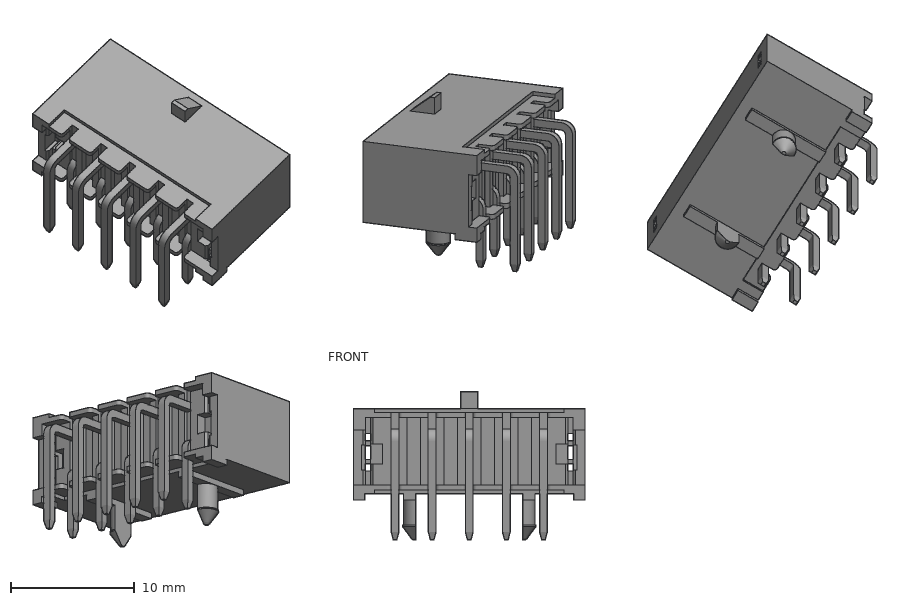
import cadquery as cq
import math


width = 18.7
depth = 9.9
top = 7.37
bottom = 0.49
half_width = width / 2

shelf_thickness = 0.73
shelf_step_depth = 0.32
shelf_step_half_width = 7.63
shelf_step_length = 1.93
recess_top = top - shelf_thickness
recess_bottom = bottom + shelf_thickness
recess_half_width = 8.38
pin_wall_y = 1.03

side_cut_top = 5.67
side_cut_depth = 0.73

columns = 5
pitch = 3.0
pin_size = 0.64
pin_half = pin_size / 2
pin_bottom = -3.22
tip_length = 0.64
tip_size = 0.3
bend_radius = 1.0
outer_row_y = -2.0
inner_row_y = outer_row_y + pitch
outer_row_z = 5.4
inner_row_z = outer_row_z - pitch
pin_embed_y = 2.8
column_xs = [(i - (columns - 1) / 2) * pitch for i in range(columns)]

pin_slot_end_y = inner_row_y + pin_half
slot_corner_radius = 0.3
groove_width = 1.08
groove_depth = 0.49

clip_inner_x = 7.95
clip_chamfer = 0.19
clip_slot_floor_y = pin_slot_end_y
clip_slot_sink = 0.19
clip_pocket_floor_y = 2.04
clip_bar_y = 2.62
clip_inner_pocket = (7.0, clip_inner_x, 2.92, 4.53)
clip_outer_pocket = (recess_half_width, 8.68, 2.41, 4.43)
clip_window = (2.35, 5.35)
clip_bars = [(2.92, 3.27), (4.38, 4.79)]

arc_middle = math.cos(math.radians(45))

latch_width = 1.4
latch_height = 1.38
latch_back_y = 7.12
latch_crest_y = 7.5
latch_toe_y = 9.25

foot_width = 0.94
foot_length = 1.9
rail_end_y = 8.9
peg_flat_x = 4.3
peg_radius = 1.01
peg_y = 5.33
peg_shank = 2.02
peg_lip = 0.085
peg_lip_height = 0.11
peg_tip_radius = 0.3
peg_tip_height = 0.13
peg_point_radius = 0.17


def box(x0, x1, y0, y1, z0, z1):
    """Axis-aligned block between two opposite corners."""
    return cq.Workplane("XY").box(x1 - x0, y1 - y0, z1 - z0, centered=False).translate((x0, y0, z0))


def both_sides(shape):
    """A shape together with its mirror image across X = 0."""
    return shape.union(shape.mirror("YZ"))


def housing_shell():
    """Outer block with the pin-side recess, the side cutouts and the stepped shelves."""
    body = box(-half_width, half_width, 0, depth, bottom, top)
    body = body.cut(box(-recess_half_width, recess_half_width, 0, pin_wall_y, recess_bottom, recess_top))
    side_cut = box(recess_half_width, half_width, 0, side_cut_depth, recess_bottom, side_cut_top)
    body = body.cut(both_sides(side_cut))
    for z in (top - shelf_step_depth, bottom):
        body = body.cut(
            box(
                -shelf_step_half_width, shelf_step_half_width,
                0, shelf_step_length,
                z, z + shelf_step_depth,
            )
        )
    return body


def pin_slot(x):
    """Full-height channel for one contact column, with its mouth flared by round corners."""
    mouth = pin_half + slot_corner_radius
    arc_offset = slot_corner_radius * arc_middle
    arc_x = mouth - arc_offset
    arc_y = slot_corner_radius - arc_offset
    return (
        cq.Workplane("XY")
        .moveTo(-mouth, 0)
        .threePointArc((-arc_x, arc_y), (-pin_half, slot_corner_radius))
        .lineTo(-pin_half, pin_slot_end_y)
        .lineTo(pin_half, pin_slot_end_y)
        .lineTo(pin_half, slot_corner_radius)
        .threePointArc((arc_x, arc_y), (mouth, 0))
        .close()
        .extrude(top - bottom)
        .translate((x, 0, bottom))
    )


def wall_groove(x):
    """Shallow vertical groove in the wall between two contact columns."""
    half = groove_width / 2
    return box(x - half, x + half, pin_wall_y, pin_wall_y + groove_depth, recess_bottom, recess_top)


def clip_slot():
    """Chamfered clip slot at the +X end, sunk into the lower shelf, with pockets and a barred window."""
    slot_bottom = recess_bottom - clip_slot_sink
    slot = box(clip_inner_x, recess_half_width, pin_wall_y, clip_slot_floor_y, slot_bottom, recess_top)
    inner_chamfer = (
        cq.Workplane("XY", origin=(0, 0, recess_bottom))
        .moveTo(clip_inner_x, pin_wall_y)
        .lineTo(clip_inner_x - clip_chamfer, pin_wall_y)
        .lineTo(clip_inner_x, pin_wall_y + clip_chamfer)
        .close()
        .extrude(recess_top - recess_bottom)
    )
    outer_chamfer = (
        cq.Workplane("XY", origin=(0, 0, recess_bottom))
        .moveTo(recess_half_width, side_cut_depth)
        .lineTo(recess_half_width + clip_chamfer, side_cut_depth)
        .lineTo(recess_half_width, side_cut_depth + clip_chamfer)
        .close()
        .extrude(side_cut_top - recess_bottom)
    )
    slot = slot.union(inner_chamfer).union(outer_chamfer)
    for x0, x1, z0, z1 in (clip_inner_pocket, clip_outer_pocket):
        slot = slot.union(box(x0, x1, side_cut_depth, clip_pocket_floor_y, z0, z1))
    window = box(clip_inner_x, recess_half_width, pin_wall_y, depth, *clip_window)
    for z0, z1 in clip_bars:
        window = window.cut(box(clip_inner_x, recess_half_width, clip_bar_y, depth, z0, z1))
    return slot.union(window)


def latch():
    """Ramped latch on the top face."""
    crest = top + latch_height
    return (
        cq.Workplane("YZ")
        .polyline([(latch_back_y, top), (latch_back_y, crest), (latch_crest_y, crest), (latch_toe_y, top)])
        .close()
        .extrude(latch_width / 2, both=True)
    )


def half_peg():
    """Half-round board peg on the +X side, with a snap lip and a blunted conical tip."""
    lip_top = -peg_shank
    lip_bottom = lip_top - peg_lip_height
    shank = cq.Workplane("XY").circle(peg_radius).extrude(lip_top)
    snap = (
        cq.Workplane("XZ")
        .polyline(
            [
                (0, lip_top),
                (peg_radius, lip_top),
                (peg_radius, lip_bottom),
                (peg_tip_radius, pin_bottom + peg_tip_height),
                (peg_point_radius, pin_bottom),
                (0, pin_bottom),
            ]
        )
        .close()
        .revolve(360, (0, 0, 0), (0, 1, 0))
        .translate((peg_lip, 0, 0))
    )
    outer_half = box(0, 2 * peg_radius, -peg_radius, peg_radius, pin_bottom, 0)
    return shank.union(snap).intersect(outer_half).translate((peg_flat_x, peg_y, 0))


def underside():
    """Corner feet, and the rails that carry the board pegs."""
    foot = box(half_width - foot_width, half_width, 0, foot_length, 0, bottom)
    rail = box(peg_flat_x, peg_flat_x + peg_radius, shelf_step_length, rail_end_y, 0, bottom)
    return both_sides(foot.union(rail).union(half_peg()))


def pin(x, row_y, row_z):
    """Bent square contact that runs out of the wall and down to a tapered tip."""
    shoulder = pin_bottom + tip_length
    outer_y = row_y - pin_half
    inner_y = row_y + pin_half
    upper_z = row_z + pin_half
    lower_z = row_z - pin_half
    bend_y = outer_y + bend_radius
    bend_z = upper_z - bend_radius
    outer_offset = bend_radius * arc_middle
    inner_offset = (bend_radius - pin_size) * arc_middle
    leg = (
        cq.Workplane("YZ")
        .moveTo(pin_embed_y, upper_z)
        .lineTo(bend_y, upper_z)
        .threePointArc((bend_y - outer_offset, bend_z + outer_offset), (outer_y, bend_z))
        .lineTo(outer_y, shoulder)
        .lineTo(inner_y, shoulder)
        .lineTo(inner_y, bend_z)
        .threePointArc((bend_y - inner_offset, bend_z + inner_offset), (bend_y, lower_z))
        .lineTo(pin_embed_y, lower_z)
        .close()
        .extrude(pin_half, both=True)
    )
    tip = (
        cq.Workplane("XY", origin=(0, row_y, shoulder))
        .rect(pin_size, pin_size)
        .workplane(offset=-tip_length)
        .rect(tip_size, tip_size)
        .loft()
    )
    return leg.union(tip).translate((x, 0, 0))


result = housing_shell()
for column_x in column_xs:
    result = result.cut(pin_slot(column_x))
for column_x in column_xs[:-1]:
    result = result.cut(wall_groove(column_x + pitch / 2))
result = result.cut(both_sides(clip_slot()))
result = result.union(latch()).union(underside())
for column_x in column_xs:
    result = result.union(pin(column_x, outer_row_y, outer_row_z))
    result = result.union(pin(column_x, inner_row_y, inner_row_z))